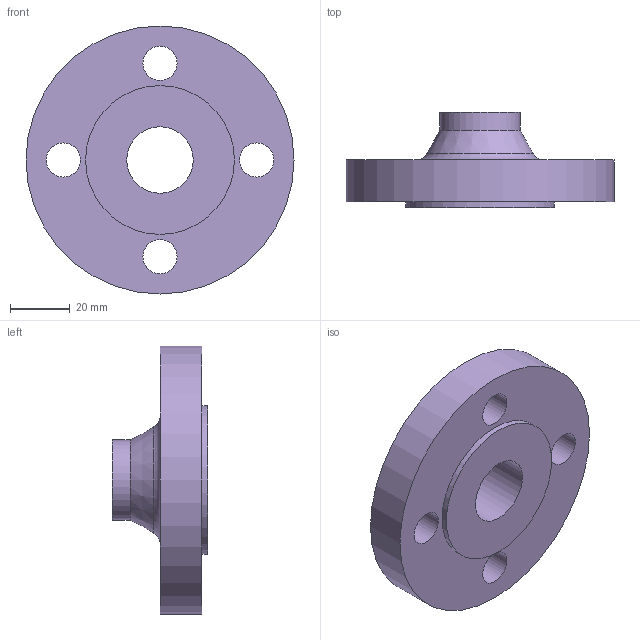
import cadquery as cq

overall_length = 32.0
flange_diameter = 90.0
flange_thickness = 14.0
raised_face_diameter = 50.0
raised_face_height = 2.0
bore_diameter = 22.3

weld_end_diameter = 26.9
weld_end_length = 6.0
hub_base_diameter = 38.0
hub_fillet_radius = 4.0

selection_tolerance = 0.1

bolt_circle_diameter = 65.0
bolt_hole_diameter = 11.5
bolt_hole_count = 4


def flange_body():
    """Revolve the half profile (radius, Y) about the Y axis and blend the hub root."""
    flange_radius = flange_diameter / 2
    raised_face_radius = raised_face_diameter / 2
    bore_radius = bore_diameter / 2
    weld_end_radius = weld_end_diameter / 2
    hub_base_radius = hub_base_diameter / 2
    flange_back = raised_face_height + flange_thickness
    hub_end = overall_length - weld_end_length

    body = (
        cq.Workplane("XY")
        .moveTo(bore_radius, 0)
        .lineTo(raised_face_radius, 0)
        .lineTo(raised_face_radius, raised_face_height)
        .lineTo(flange_radius, raised_face_height)
        .lineTo(flange_radius, flange_back)
        .lineTo(hub_base_radius, flange_back)
        .lineTo(weld_end_radius, hub_end)
        .lineTo(weld_end_radius, overall_length)
        .lineTo(bore_radius, overall_length)
        .close()
        .revolve(360, (0, 0, 0), (0, 1, 0))
    )
    box_half_width = hub_base_radius + selection_tolerance
    hub_root = cq.selectors.BoxSelector(
        (-box_half_width, flange_back - selection_tolerance, -box_half_width),
        (box_half_width, flange_back + selection_tolerance, box_half_width),
        boundingbox=True,
    )
    return body.edges(hub_root).fillet(hub_fillet_radius)


def bolt_holes():
    """Cylinders on the bolt circle, running through the whole length."""
    bolt_circle_radius = bolt_circle_diameter / 2
    return (
        cq.Workplane("XZ")
        .polarArray(bolt_circle_radius, 0, 360, bolt_hole_count)
        .circle(bolt_hole_diameter / 2)
        .extrude(-overall_length)
    )


result = flange_body().cut(bolt_holes())